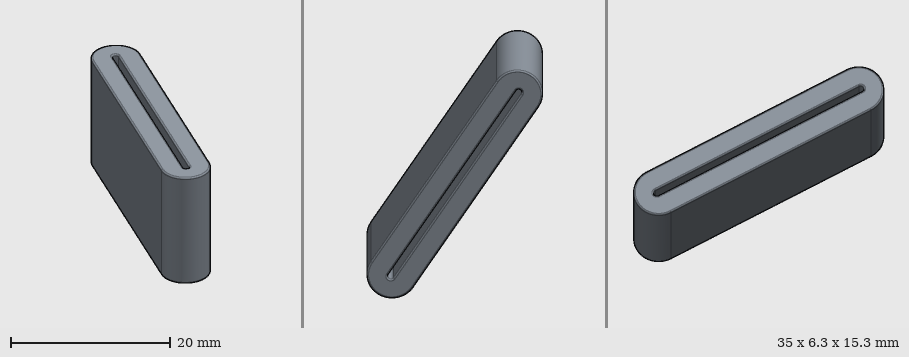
import cadquery as cq

LENGTH = 35.0
THICKNESS = 6.3
HEIGHT = 15.3

SLOT_LENGTH = 30.03
SLOT_WIDTH = 0.8

RIM_FILLET = 0.2


def round_ended_bar(length, width):
    """Upright bar of full height with half-round ends."""
    return (
        cq.Workplane("XY", origin=(0, 0, -HEIGHT / 2))
        .slot2D(length, width)
        .extrude(HEIGHT)
    )


def make_sleeve():
    """Flat sleeve with a narrow slot through its height and rounded rims."""
    body = round_ended_bar(LENGTH, THICKNESS)
    slot = round_ended_bar(SLOT_LENGTH, SLOT_WIDTH)
    return body.cut(slot).faces("<Z or >Z").edges().fillet(RIM_FILLET)


sleeve = make_sleeve()

result = cq.Compound.makeCompound([sleeve.val()])